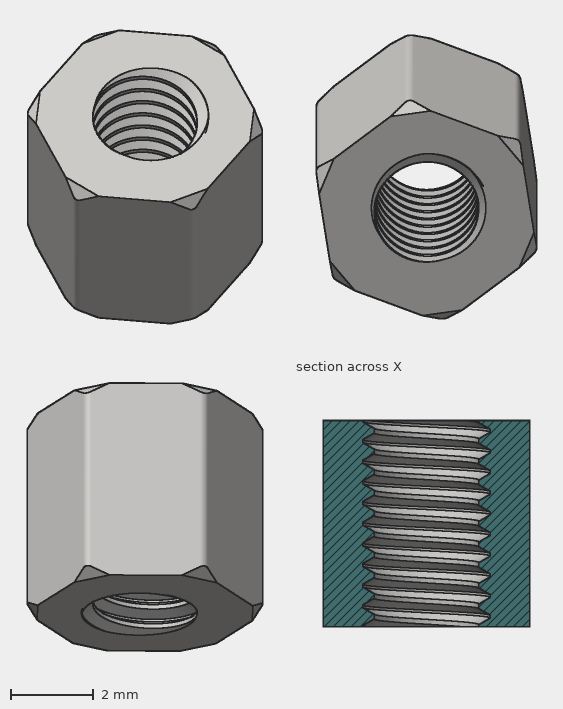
import cadquery as cq
import math

ACROSS_FLATS = 5.0
HEIGHT = 5.0
EDGE_RADIUS = 0.21
CORNER_CUT = 0.25

MINOR_DIAMETER = 2.53
MAJOR_DIAMETER = 3.085
THREAD_TURNS = 10
PITCH = HEIGHT / THREAD_TURNS
ROOT_WIDTH = PITCH / 8
FLANK_ANGLE = 30
GROOVE_OVERLAP = 0.015
THREAD_START_ANGLE = 90

CORNER_COUNT = 6
corner_radius = ACROSS_FLATS / math.sqrt(3)
rounded_corner_radius = corner_radius - EDGE_RADIUS * (2 / math.sqrt(3) - 1)


def make_body():
    """Hexagonal prism with two corners on the X axis and rounded vertical edges."""
    body = cq.Workplane("XY").polygon(CORNER_COUNT, 2 * corner_radius).extrude(HEIGHT)
    return body.edges("|Z").fillet(EDGE_RADIUS)


def make_corner_limit():
    """Hexagonal envelope, bevelled at both ends, that trims the corners with flat faces."""
    envelope = (
        cq.Workplane("XY")
        .transformed(rotate=(0, 0, 180 / CORNER_COUNT))
        .polygon(CORNER_COUNT, 2 * rounded_corner_radius / math.cos(math.pi / CORNER_COUNT))
        .extrude(HEIGHT)
    )
    return envelope.faces("<Z or >Z").chamfer(CORNER_CUT)


def make_thread_groove():
    """Helical trapezoidal cutter running past both end faces."""
    root_radius = MAJOR_DIAMETER / 2
    inner_radius = MINOR_DIAMETER / 2 - GROOVE_OVERLAP
    root_half = ROOT_WIDTH / 2
    flank_rise = (root_radius - inner_radius) * math.tan(math.radians(FLANK_ANGLE))
    inner_half = root_half + flank_rise
    helix = cq.Wire.makeHelix(PITCH, HEIGHT + 2 * PITCH, MINOR_DIAMETER / 2)
    groove = (
        cq.Workplane("XZ")
        .polyline([
            (inner_radius, -inner_half),
            (root_radius, -root_half),
            (root_radius, root_half),
            (inner_radius, inner_half),
        ])
        .close()
        .sweep(cq.Workplane(helix), isFrenet=True)
    )
    return groove.rotate((0, 0, 0), (0, 0, 1), THREAD_START_ANGLE).translate((0, 0, -PITCH))


bore = cq.Workplane("XY").circle(MINOR_DIAMETER / 2).extrude(HEIGHT)

result = make_body().intersect(make_corner_limit()).cut(bore).cut(make_thread_groove())